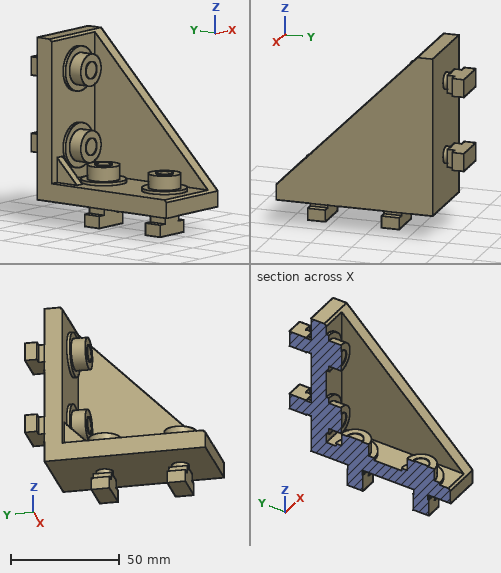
import cadquery as cq

width = 38.0
leg_length = 76.0
wall = 8.5
lip = 7.4
gusset_thickness = 6.0
rib_thickness = 4.0
rib_offset = 4.0
rib_leg = 11.7

bolt_positions = (24.0, 59.8)
bolt_x = width / 2
stud_diameter = 8.0
stud_gap = 2.5
stud_tip = 0.35
washer_diameter = 21.0
washer_thickness = 1.4
nut_diameter = 15.0
nut_height = 6.6

tee_depth = 8.6
tee_neck_width = 10.2
tee_neck_height = 3.5
tee_head_width = 17.5
tee_head_height = 5.7


def side_profile(points, x_start, thickness):
    """Extrude a (Y, Z) outline along X."""
    return cq.Workplane("YZ", origin=(x_start, 0, 0)).polyline(points).close().extrude(thickness)


def make_bracket():
    """Two walls closed by a full gusset on the +X side, with a small rib in the corner."""
    full_outline = [
        (0, 0),
        (-leg_length, 0),
        (-leg_length, lip),
        (-lip, leg_length),
        (0, leg_length),
    ]
    bracket = side_profile(full_outline, 0, width)
    cavity = (
        cq.Workplane("XY")
        .box(width - gusset_thickness, leg_length, leg_length, centered=False)
        .translate((0, -wall - leg_length, wall))
    )
    rib_reach = wall + rib_leg
    rib_outline = [
        (0, 0),
        (-rib_reach, 0),
        (-rib_reach, wall),
        (-wall, rib_reach),
        (0, rib_reach),
    ]
    rib = side_profile(rib_outline, rib_offset, rib_thickness)
    return bracket.cut(cavity).union(rib)


def cylinder(diameter, bottom, height):
    return cq.Workplane("XY", origin=(0, 0, bottom)).circle(diameter / 2).extrude(height)


def block_below(block_width, top, height):
    return cq.Workplane("XY", origin=(0, 0, top)).rect(block_width, tee_depth).extrude(-height)


def make_bolt():
    """Bolt along Z, with the outer wall face at Z = 0 and the T-nut below it."""
    nut_top = wall + washer_thickness + nut_height
    neck_bottom = -stud_gap - tee_neck_height
    stud = cylinder(stud_diameter, -stud_gap, stud_gap + nut_top + stud_tip)
    washer = cylinder(washer_diameter, wall, washer_thickness)
    nut = cylinder(nut_diameter, wall + washer_thickness, nut_height)
    neck = block_below(tee_neck_width, -stud_gap, tee_neck_height)
    head = block_below(tee_head_width, neck_bottom, tee_head_height)
    return stud.union(washer).union(nut).union(neck).union(head)


bolt = make_bolt()
upright_bolt = bolt.rotate((0, 0, 0), (1, 0, 0), 90)

result = make_bracket()
for distance in bolt_positions:
    result = result.union(bolt.translate((bolt_x, -distance, 0)))
    result = result.union(upright_bolt.translate((bolt_x, 0, distance)))